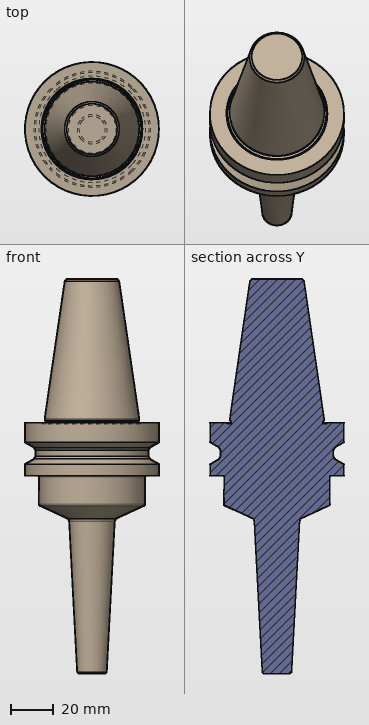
import cadquery as cq
import math

gauge_radius = 44.45 / 2
taper_length = 65.4
taper_ratio = 7 / 24
taper_tip_chamfer = 1.0
gauge_land_bottom_z = -1.0

relief_inner_radius = 21.7
relief_outer_radius = 23.75
relief_floor_radius = 23.1
relief_depth = 0.5

flange_radius = 31.5
flange_top_z = -2.0
flange_bottom_z = -27.0
groove_mid_z = -16.4
groove_mouth_width = 10.2
groove_floor_radius = 26.6
groove_wall_angle = 60
groove_chamfer = 0.8
groove_wall_run = (flange_radius - groove_floor_radius) / math.tan(math.radians(groove_wall_angle))
groove_floor_width = groove_mouth_width - 2 * groove_wall_run

shoulder_radius = 25.0
shoulder_bottom_z = -40.8
shoulder_top_fillet = 0.5
shoulder_bottom_fillet = 1.0
cone_end_radius = 11.2
cone_end_z = -47.2

nose_root_z = -48.4
nose_tip_radius = 7.0
nose_tip_z = -120.0
nose_tip_chamfer = 0.9
nose_half_angle = 3
nose_root_radius = nose_tip_radius + (nose_root_z - nose_tip_z) * math.tan(math.radians(nose_half_angle))


def taper_radius(z):
    """Radius of the spindle taper at height z."""
    return gauge_radius - z * taper_ratio / 2


def taper_outline():
    chamfer_z = taper_length - taper_tip_chamfer
    return [
        (0, taper_length),
        (taper_radius(chamfer_z) - taper_tip_chamfer, taper_length),
        (taper_radius(chamfer_z), chamfer_z),
        (gauge_radius, 0),
        (gauge_radius, gauge_land_bottom_z),
    ]


def relief_outline():
    floor_z = flange_top_z - relief_depth
    neck_top_z = gauge_land_bottom_z - (gauge_radius - relief_inner_radius)
    return [
        (relief_inner_radius, neck_top_z),
        (relief_inner_radius, floor_z),
        (relief_floor_radius, floor_z),
        (relief_outer_radius, flange_top_z),
    ]


def flange_outline():
    return [
        (flange_radius, flange_top_z),
        (flange_radius, groove_mid_z + groove_mouth_width / 2),
        (groove_floor_radius, groove_mid_z + groove_floor_width / 2),
        (groove_floor_radius, groove_mid_z - groove_floor_width / 2),
        (flange_radius, groove_mid_z - groove_mouth_width / 2),
        (flange_radius, flange_bottom_z),
    ]


def nose_outline():
    return [
        (shoulder_radius, flange_bottom_z),
        (shoulder_radius, shoulder_bottom_z),
        (cone_end_radius, cone_end_z),
        (nose_root_radius, nose_root_z),
        (nose_tip_radius, nose_tip_z + nose_tip_chamfer),
        (nose_tip_radius - nose_tip_chamfer, nose_tip_z),
        (0, nose_tip_z),
    ]


def circles_near(z, spread):
    """Selector for circular edges about the Z axis within a height spread either side of z."""
    reach = 1.0
    return cq.selectors.BoxSelector((-reach, -reach, z - spread), (reach, reach, z + spread))


half_profile = taper_outline() + relief_outline() + flange_outline() + nose_outline()
body = cq.Workplane("XZ").polyline(half_profile).close().revolve(360, (0, 0), (0, 1))

edge_margin = 0.1
groove_corners = circles_near(groove_mid_z, groove_floor_width / 2 + edge_margin)
body = body.edges(groove_corners).chamfer(groove_chamfer)
shoulder_top = circles_near(flange_bottom_z, edge_margin)
body = body.edges(shoulder_top).edges(cq.selectors.RadiusNthSelector(0)).fillet(shoulder_top_fillet)
shoulder_bottom = circles_near(shoulder_bottom_z, edge_margin)
body = body.edges(shoulder_bottom).fillet(shoulder_bottom_fillet)

result = body